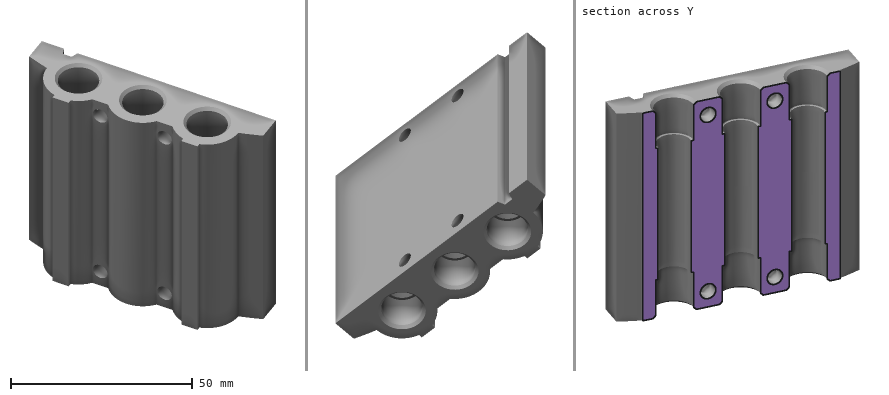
import cadquery as cq
import math

width = 72.9
depth = 20.0
height = 66.0

barrel_pitch = 20.05
barrel_y = -9.4
barrel_radius = 9.8
barrel_positions = (-barrel_pitch, 0.0, barrel_pitch)

ear_edge_depth = 7.4
ear_root_depth = 9.55
ear_taper_radius = 99.9
web_depth = 15.6

rail_width = 5.0

groove_x = -27.4
groove_mouth_width = 4.2
groove_floor_width = 2.7
groove_depth = 2.1

bore_diameter = 10.0
port_diameter = 11.45
port_mouth_diameter = 13.1
port_depth = 12.0
port_chamfer = (port_mouth_diameter - port_diameter) / 2

mount_hole_diameter = 4.5
mount_hole_x = barrel_pitch / 2
mount_hole_z = height / 2 - 5.0


def make_plate():
    """Back plate with its tapered ears and the thicker middle that joins the barrels."""
    rise = ear_root_depth + barrel_y
    ear_root_x = barrel_pitch + math.sqrt(barrel_radius**2 - rise**2)
    ears = (
        cq.Workplane("XY")
        .moveTo(-width / 2, 0)
        .lineTo(width / 2, 0)
        .lineTo(width / 2, -ear_edge_depth)
        .radiusArc((ear_root_x, -ear_root_depth), ear_taper_radius)
        .lineTo(-ear_root_x, -ear_root_depth)
        .radiusArc((-width / 2, -ear_edge_depth), ear_taper_radius)
        .close()
    )
    plate = ears.extrude(height / 2, both=True)
    web = cq.Workplane("XY").box(2 * barrel_pitch, web_depth, height).translate((0, -web_depth / 2, 0))
    return plate.union(web)


def make_barrels():
    """Three round barrels side by side, kept in front of the back face."""
    centres = [(x, barrel_y) for x in barrel_positions]
    barrels = cq.Workplane("XY").pushPoints(centres).circle(barrel_radius).extrude(height / 2, both=True)
    envelope = cq.Workplane("XY").box(width, depth, height).translate((0, -depth / 2, 0))
    return barrels.intersect(envelope)


def make_rails():
    """Flat-topped rails on the two outer barrels, reaching the full depth of the part."""
    rail_length = depth + barrel_y
    rail_y = barrel_y - rail_length / 2
    centres = [(-barrel_pitch, rail_y), (barrel_pitch, rail_y)]
    return cq.Workplane("XY").pushPoints(centres).rect(rail_width, rail_length).extrude(height / 2, both=True)


def make_groove():
    """Tapered groove running the full height of the back face."""
    outline = [
        (groove_x - groove_mouth_width / 2, 0),
        (groove_x + groove_mouth_width / 2, 0),
        (groove_x + groove_floor_width / 2, -groove_depth),
        (groove_x - groove_floor_width / 2, -groove_depth),
    ]
    return cq.Workplane("XY").polyline(outline).close().extrude(height / 2, both=True)


def make_bore(x):
    """Stepped bore, revolved about the barrel axis and alike at both ends."""
    top = height / 2
    half_profile = [
        (0, 0),
        (bore_diameter / 2, 0),
        (bore_diameter / 2, top - port_depth),
        (port_diameter / 2, top - port_depth),
        (port_diameter / 2, top - port_chamfer),
        (port_mouth_diameter / 2, top),
        (0, top),
    ]
    half = cq.Workplane("XZ").polyline(half_profile).close().revolve(360, (0, 0), (0, 1))
    return half.union(half.mirror("XY")).translate((x, barrel_y, 0))


def make_mount_holes():
    """Four holes from front to back, near the top and bottom of each web."""
    centres = [(x, z) for x in (-mount_hole_x, mount_hole_x) for z in (-mount_hole_z, mount_hole_z)]
    return cq.Workplane("XZ").pushPoints(centres).circle(mount_hole_diameter / 2).extrude(depth)


body = make_plate().union(make_barrels()).union(make_rails())
body = body.cut(make_groove()).cut(make_mount_holes())
for x in barrel_positions:
    body = body.cut(make_bore(x))

result = body